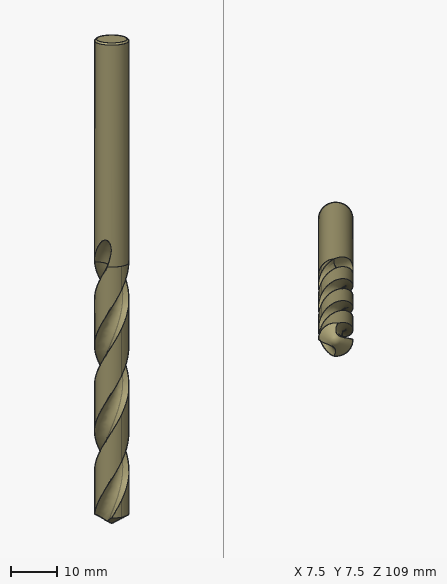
import cadquery as cq
import math


diameter = 7.5
overall_length = 109.0
fluted_length = 58.7
point_angle = 118.0
top_chamfer = 0.4

flute_count = 2
flute_pitch = 38.6
cutting_edge_angle = 41.5
crease_radius = 2.4
crease_angle = 34.5
core_radius = 1.4
gullet_bottom_angle = 0.0
cutter_reach = 4.5
heel_angle = -34.5
flank_extension = 1.6
cutter_overrun = 1.0

runout_radius = 18.0
runout_lean = 33.0
runout_sweep = 60.0

radius = diameter / 2
point_height = radius / math.tan(math.radians(point_angle / 2))
flute_spacing = 360.0 / flute_count


def polar(distance, angle):
    """Point at an angle counted counter-clockwise from the -Y direction."""
    turn = math.radians(angle)
    return (distance * math.sin(turn), -distance * math.cos(turn))


def extend(start, through, factor):
    """Point on the line from start through another point, at a multiple of their distance."""
    return tuple(a + factor * (b - a) for a, b in zip(start, through))


def flute_section(plane_height, turn):
    """Flute cross-section facing -Y, then turned about the axis, and closed outside the drill."""
    cutting_edge = polar(radius, turn + cutting_edge_angle)
    crease = polar(crease_radius, turn + crease_angle)
    gullet_bottom = polar(core_radius, turn + gullet_bottom_angle)
    flank_end = extend(crease, cutting_edge, flank_extension)
    return (
        cq.Workplane("XY", origin=(0, 0, plane_height))
        .moveTo(*flank_end)
        .lineTo(*crease)
        .threePointArc(gullet_bottom, polar(cutter_reach, turn + heel_angle))
        .threePointArc(polar(cutter_reach, turn), flank_end)
        .close()
    )


def helical_cutter():
    """Flute volume that twists up to face -Y at the joint and overruns both ends."""
    length = fluted_length + 2 * cutter_overrun
    twist = 360.0 * length / flute_pitch
    start_turn = 360.0 * cutter_overrun / flute_pitch - twist
    return flute_section(-cutter_overrun, start_turn).twistExtrude(length, twist)


def runout_cutter():
    """Flute volume above the joint, swung outward about a leaning axis."""
    lean = math.radians(runout_lean)
    pivot = cq.Vector(0, -(core_radius + runout_radius), fluted_length)
    axis = cq.Vector(math.cos(lean), 0, -math.sin(lean))
    face = cq.Face.makeFromWires(flute_section(fluted_length, 0).wire().val())
    return cq.Workplane(cq.Solid.revolve(face, runout_sweep, pivot, pivot + axis))


def cut_flutes(body, cutter):
    """Cut the flutes, evenly spaced around the axis."""
    for index in range(flute_count):
        body = body.cut(cutter.rotate((0, 0, 0), (0, 0, 1), index * flute_spacing))
    return body


def make_fluted_body():
    """Pointed cylinder with helical flutes."""
    blank = (
        cq.Workplane("XZ")
        .lineTo(radius, point_height)
        .lineTo(radius, fluted_length)
        .lineTo(0, fluted_length)
        .close()
        .revolve(360, (0, 0), (0, 1))
    )
    return cut_flutes(blank, helical_cutter())


def make_shank():
    """Plain shank with a chamfered top and the flute run-outs at its lower end."""
    blank = (
        cq.Workplane("XY", origin=(0, 0, fluted_length))
        .circle(radius)
        .extrude(overall_length - fluted_length)
        .faces(">Z")
        .chamfer(top_chamfer)
    )
    return cut_flutes(blank, runout_cutter())


fluted_body = make_fluted_body()
shank = make_shank()

result = cq.Compound.makeCompound([fluted_body.val(), shank.val()])